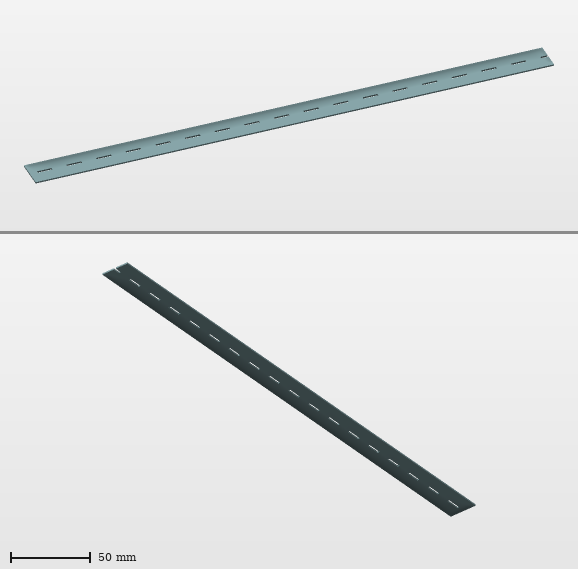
import cadquery as cq

length = 350.0
pitches_per_length = 17.5
slot_pitch = length / pitches_per_length
width = slot_pitch
thickness = width / 20

slot_length = slot_pitch / 2
slot_width = 1.6
slot_count = 18
first_slot_y = (slot_pitch - length) / 2
cutter_height = 2 * thickness


def make_strip():
    return cq.Workplane("XY").box(width, length, thickness)


def make_slots():
    centres = [(0, first_slot_y + i * slot_pitch) for i in range(slot_count)]
    return (
        cq.Workplane("XY")
        .pushPoints(centres)
        .box(slot_width, slot_length, cutter_height)
    )


result = make_strip().cut(make_slots())